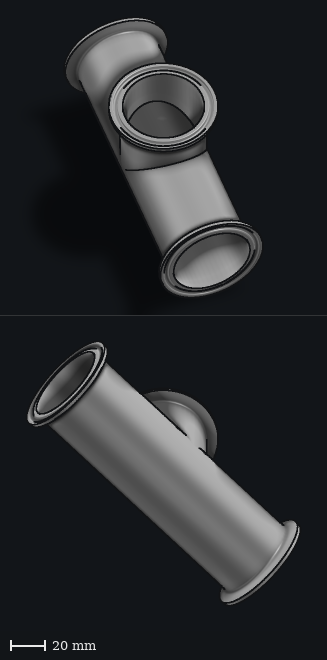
import cadquery as cq
import math

run_length = 164.0
branch_height = 48.5
tube_radius = 50.8 / 2
run_bore_diameter = 47.5
branch_bore_diameter = 47.7

flange_radius = 64.0 / 2
rim_thickness = 2.6
back_angle = math.radians(20)
neck_fillet = 2.1

groove_radius = 28.2
groove_half_width = 2.1
groove_bottom_half_width = 1.3
groove_wall_angle = math.radians(70)


def ferrule_tube(length):
    """Solid tube with its axis on +Z, starting at the origin and ending in a grooved flange."""
    turn = math.pi / 2 - back_angle
    fillet_center = tube_radius + neck_fillet

    def fillet_point(angle):
        return (fillet_center - neck_fillet * math.cos(angle),
                neck_start + neck_fillet * math.sin(angle))

    cone_inner_radius = fillet_center - neck_fillet * math.cos(turn)
    cone_height = (flange_radius - cone_inner_radius) * math.tan(back_angle)
    neck_start = length - rim_thickness - cone_height - neck_fillet * math.sin(turn)

    bottom_arc = groove_bottom_half_width / math.sin(groove_wall_angle)
    lip_arc = (groove_half_width - groove_bottom_half_width) / math.sin(groove_wall_angle)
    lip_depth = lip_arc * (1 - math.cos(groove_wall_angle))
    groove_depth = (bottom_arc + lip_arc) * (1 - math.cos(groove_wall_angle))
    lip_mid_offset = groove_half_width - lip_arc * math.sin(groove_wall_angle / 2)
    lip_mid_depth = lip_arc * (1 - math.cos(groove_wall_angle / 2))

    def groove_point(offset, depth):
        return groove_radius + offset, length - depth

    profile = (
        cq.Workplane("XZ")
        .lineTo(tube_radius, 0)
        .lineTo(*fillet_point(0))
        .threePointArc(fillet_point(turn / 2), fillet_point(turn))
        .lineTo(flange_radius, length - rim_thickness)
        .lineTo(flange_radius, length)
        .lineTo(*groove_point(groove_half_width, 0))
        .threePointArc(groove_point(lip_mid_offset, lip_mid_depth),
                       groove_point(groove_bottom_half_width, lip_depth))
        .threePointArc(groove_point(0, groove_depth),
                       groove_point(-groove_bottom_half_width, lip_depth))
        .threePointArc(groove_point(-lip_mid_offset, lip_mid_depth),
                       groove_point(-groove_half_width, 0))
        .lineTo(0, length)
        .close()
    )
    return profile.revolve(360, (0, 0, 0), (0, 1, 0))


half_run = ferrule_tube(run_length / 2)
branch = ferrule_tube(branch_height)
body = branch
for side in (-1, 1):
    body = body.union(half_run.rotate((0, 0, 0), (0, 1, 0), side * 90))

run_bore = cq.Workplane("YZ").circle(run_bore_diameter / 2).extrude(run_length / 2, both=True)
branch_bore = cq.Workplane("XY").circle(branch_bore_diameter / 2).extrude(branch_height)

result = body.cut(run_bore).cut(branch_bore).clean()